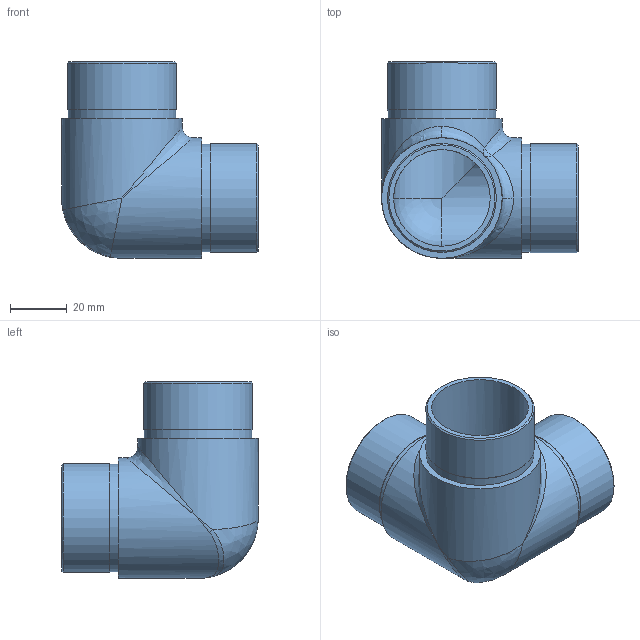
import cadquery as cq

body_diameter = 42.4
spigot_diameter = 38.3
neck_diameter = 37.9
bore_diameter = 34.0
body_length = 28.0
neck_length = 3.0
arm_length = 48.0
end_chamfer = 0.5
blend_radius = 4.0
heel_radius = 17.0

body_radius = body_diameter / 2
bore_radius = bore_diameter / 2
spigot_length = arm_length - body_length - neck_length

x_axis = cq.Vector(1, 0, 0)
y_axis = cq.Vector(0, 1, 0)
z_axis = cq.Vector(0, 0, 1)
arm_axes = [x_axis, y_axis, z_axis]


def cylinder(diameter, start, length, axis):
    """Cylinder on an arm axis, starting at a signed distance from the corner centre."""
    return cq.Workplane(cq.Solid.makeCylinder(diameter / 2, length, axis * start, axis))


def three_arms(diameter, length):
    """Three equal cylinders running out from the corner centre."""
    arms = cylinder(diameter, 0, length, x_axis)
    for axis in (y_axis, z_axis):
        arms = arms.union(cylinder(diameter, 0, length, axis))
    return arms


def fillet_creases(shape, radius, is_crease):
    """Fillet the mitre edges whose midpoint passes the test."""
    creases = []
    for edge in shape.edges().vals():
        is_mitre = edge.geomType() not in ("LINE", "CIRCLE")
        if is_mitre and is_crease(edge.positionAt(0.5)):
            creases.append(edge)
    return shape.newObject(creases).fillet(radius)


def on_inside_of_bend(point):
    """Mitres between arms lie on the positive side of the corner."""
    return point.x + point.y + point.z > 0


def on_y_arm_edge(point):
    """The outer edge closing the Y arm stays near y = 0, clear of the heel's tangent lines."""
    return -body_radius / 2 < point.y < 0 and point.x < 0 and point.z < 0


def bar(diameter, axis):
    """Cylinder running both ways through the corner centre."""
    return cylinder(diameter, -arm_length, 2 * arm_length, axis)


def heel():
    """X-Z elbow with a rolling-ball outer fillet, cut down to the octant behind the corner centre.

    The ball centres follow a sharp elbow that is thinner by the heel radius, so
    thickening that core by the same radius gives the arm surfaces and the fillet.
    """
    core_diameter = body_diameter - 2 * heel_radius
    core_mitre = bar(core_diameter, x_axis).intersect(bar(core_diameter, z_axis))
    core = core_mitre.union(cylinder(core_diameter, 0, arm_length, x_axis))
    core = core.union(cylinder(core_diameter, 0, arm_length, z_axis))
    lower_half = cq.Workplane().box(4 * arm_length, 2 * arm_length, 4 * arm_length)
    core = core.intersect(lower_half.translate((0, -arm_length, 0)))
    skin = core.shell(heel_radius, kind="arc")
    octant = cq.Workplane().box(body_radius, body_radius, body_radius, centered=False)
    octant = octant.translate((-body_radius, -body_radius, -body_radius))
    return skin.union(core).intersect(octant)


def corner_cap():
    """Heel closed by the Y arm's surface, with the edge between them rounded."""
    return fillet_creases(heel().intersect(bar(body_diameter, y_axis)), blend_radius, on_y_arm_edge)


def spigot(axis):
    """Plug-in end of an arm: a relieved neck, then a spigot with a chamfered rim."""
    neck = cylinder(neck_diameter, body_length, neck_length, axis)
    plug = cylinder(spigot_diameter, body_length + neck_length, spigot_length, axis)
    end_face = cq.DirectionMinMaxSelector(axis, True)
    return neck.union(plug.faces(end_face).edges().chamfer(end_chamfer))


def outer_body():
    """Blended arms with the corner cap and the three spigots."""
    body = fillet_creases(three_arms(body_diameter, body_length), blend_radius, on_inside_of_bend)
    body = body.union(corner_cap())
    for axis in arm_axes:
        body = body.union(spigot(axis))
    return body


def bore():
    """Through passage of all three arms, with a ball-shaped corner."""
    return three_arms(bore_diameter, arm_length).union(cq.Workplane().sphere(bore_radius))


result = outer_body().cut(bore())